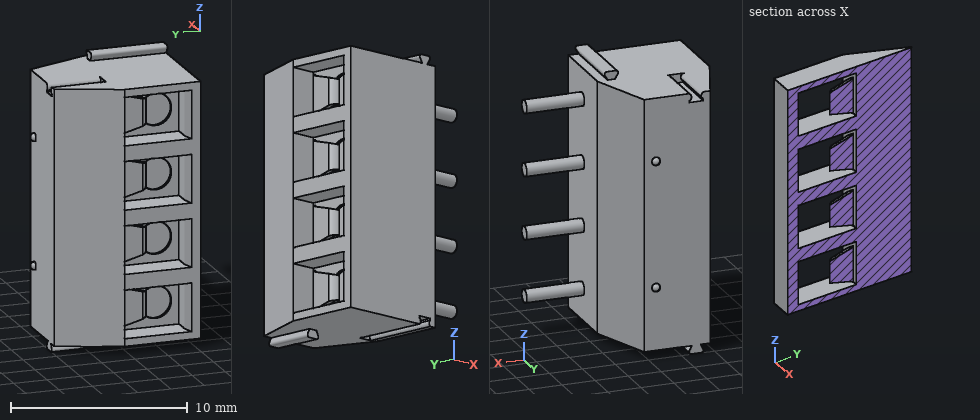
import cadquery as cq

overall_length = 16.24
overall_height = 8.55
overall_depth = 10.3
pole_count = 4
rib_height = 0.5
body_length = overall_length - 2 * rib_height
pole_pitch = body_length / pole_count
body_depth = 6.8
body_height = 8.3
shoulder_height = 4.58
top_inset = 1.4
axis_height = 2.15

pin_diameter = 0.81
pin_length = overall_depth - body_depth

dome_x = 4.7
dome_radius = overall_height - body_height

window_width = 2.87
window_depth = 1.6
sill_height = 0.55
sill_slope_rise = 0.18
sill_slope_depth = 0.65
recess_radius = 0.96
recess_depth = 0.16

tongue_rise = 0.32
tongue_root_y = 4.47
tongue_tip_y = 2.66
tongue_root_half = 1.3
tongue_shoulder_half = 1.09
tongue_flare_half = 1.15
tongue_tip_half = 0.71
root_roll_length = 0.4
tip_roll_length = 0.37
root_roll_bulge = 0.1
tip_roll_bulge = 0.08

lower_joint_x = 5.96
upper_joint_x = 2.24
rib_head_width = 1.05
rib_corner_radius = 0.15
lower_rib_neck = 0.44
upper_rib_neck = 0.55
upper_rib_length = 3.07
slot_clearance = 0.15
upper_slot_length = upper_rib_length + slot_clearance
lower_slot_length = shoulder_height + slot_clearance
lower_slot = {"mouth": 0.85, "neck": 0.68, "floor": 0.85, "depth": 0.47, "lip": 0.35}
upper_slot = {"mouth": 0.99, "neck": 0.58, "floor": 0.85, "depth": 0.54, "lip": 0.44}


def make_body():
    outline = [
        (0, 0),
        (body_depth, 0),
        (body_depth, shoulder_height),
        (body_depth - top_inset, body_height),
        (top_inset, body_height),
        (0, shoulder_height),
    ]
    return cq.Workplane("XY").polyline(outline).close().extrude(body_length)


def place_joint(profile, x, face_z, outward, start_y, length):
    """Sweep a profile along Y; its second coordinate points out of the end face."""
    plane = cq.Plane(origin=(x, start_y, face_z), xDir=(-outward, 0, 0), normal=(0, 1, 0))
    return profile(cq.Workplane(plane)).extrude(length)


def make_rib(neck, x, face_z, outward, start_y, length):
    def profile(plane):
        head = rib_head_width / 2
        return plane.polyline(
            [(-neck / 2, 0), (neck / 2, 0), (head, rib_height), (-head, rib_height)]
        ).close()

    rib = place_joint(profile, x, face_z, outward, start_y, length)
    outer_face = ">Z" if outward > 0 else "<Z"
    return rib.faces(outer_face).edges("|Y").fillet(rib_corner_radius)


def make_slot(sizes, x, face_z, outward, start_y, length):
    """Slot with rounded lips that pinch its mouth."""
    mouth, neck, floor = sizes["mouth"] / 2, sizes["neck"] / 2, sizes["floor"] / 2
    depth, lip = sizes["depth"], sizes["lip"]

    def profile(plane):
        return (
            plane.moveTo(mouth, 0)
            .threePointArc((neck, -lip / 2), (floor, -lip))
            .lineTo(floor, -depth)
            .lineTo(-floor, -depth)
            .lineTo(-floor, -lip)
            .threePointArc((-neck, -lip / 2), (-mouth, 0))
            .close()
        )

    return place_joint(profile, x, face_z, outward, start_y, length)


def make_opening(pole_z):
    """Window with a sloped lead-in at its sill, plus the round recess in its floor."""
    window = (
        cq.Workplane("XY", origin=(0, 0, pole_z))
        .polyline(
            [
                (0, sill_height),
                (sill_slope_depth, sill_height + sill_slope_rise),
                (window_depth, sill_height + sill_slope_rise),
                (window_depth, shoulder_height),
                (0, shoulder_height),
            ]
        )
        .close()
        .extrude(window_width / 2, both=True)
    )
    recess = (
        cq.Workplane("YZ", origin=(window_depth, axis_height, pole_z))
        .circle(recess_radius)
        .extrude(recess_depth)
    )
    return window.union(recess)


def make_tongue(pole_z):
    """Tapered tongue whose ends roll down to the floor and into the recess."""
    shoulder_y = tongue_root_y - root_roll_length
    flare_y = tongue_root_y - root_roll_length / 2
    top_x = window_depth - tongue_rise
    base_x = window_depth + recess_depth
    tongue = (
        cq.Workplane("YZ", origin=(top_x, 0, pole_z))
        .moveTo(tongue_tip_y, -tongue_tip_half)
        .lineTo(shoulder_y, -tongue_shoulder_half)
        .threePointArc((flare_y, -tongue_flare_half), (tongue_root_y, -tongue_root_half))
        .lineTo(tongue_root_y, tongue_root_half)
        .threePointArc((flare_y, tongue_flare_half), (shoulder_y, tongue_shoulder_half))
        .lineTo(tongue_tip_y, tongue_tip_half)
        .close()
        .extrude(base_x - top_x)
    )
    side = (
        cq.Workplane("XY", origin=(0, 0, pole_z))
        .moveTo(base_x, tongue_tip_y)
        .sagittaArc((top_x, tongue_tip_y + tip_roll_length), tip_roll_bulge)
        .lineTo(top_x, shoulder_y)
        .sagittaArc((window_depth, tongue_root_y), root_roll_bulge)
        .lineTo(base_x, tongue_root_y)
        .close()
        .extrude(tongue_root_half, both=True)
    )
    return tongue.intersect(side)


def make_pin(pole_z):
    return (
        cq.Workplane("YZ", origin=(body_depth, axis_height, pole_z))
        .circle(pin_diameter / 2)
        .extrude(pin_length)
    )


result = make_body()

for pole in range(pole_count):
    pole_z = (pole + 0.5) * pole_pitch
    result = result.cut(make_opening(pole_z))
    result = result.union(make_tongue(pole_z))
    result = result.union(make_pin(pole_z))

for dome_z in (pole_pitch, (pole_count - 1) * pole_pitch):
    dome = cq.Workplane("XY", origin=(dome_x, body_height, dome_z)).sphere(dome_radius)
    result = result.union(dome)

upper_rib_start = body_height - upper_rib_length
upper_slot_start = body_height - upper_slot_length
result = result.union(make_rib(lower_rib_neck, lower_joint_x, body_length, 1, 0, shoulder_height))
result = result.union(make_rib(upper_rib_neck, upper_joint_x, 0, -1, upper_rib_start, upper_rib_length))
result = result.cut(make_slot(lower_slot, lower_joint_x, 0, -1, 0, lower_slot_length))
result = result.cut(
    make_slot(upper_slot, upper_joint_x, body_length, 1, upper_slot_start, upper_slot_length)
)